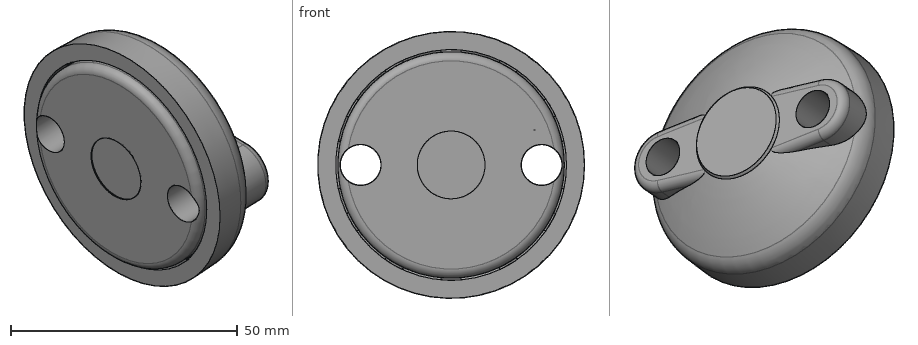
import cadquery as cq
import math

rim_radius = 29.5
rim_height = 7.0
wall_draft = 2.0
shoulder_radius = 26.85
shoulder_height = 11.05
dome_top_radius = 11.1
dome_top_height = 18.0
raised_top_radius = 10.6
raised_top_height = 18.6

bar_end_radius = 7.5
bar_end_offset = 21.0
bar_taper = 4.5
bar_fillet = 2.0

hole_radius = 4.5
hole_offset = 20.0

pad_radius = 25.0
pad_protrusion = 2.0
pad_edge_radius = 2.0
pad_seat_depth = 6.5
gap_width = 0.5
gap_depth = 5.0
bevel_length = 0.3
tab_spacing = 30
tab_width = 10
wide_tab_width = 24
mark_radius = 7.5
mark_depth = 0.3


def revolve_about_y(profile):
    """Turn a closed half profile, drawn as (radius, Y), around the Y axis."""
    return profile.close().revolve(360, (0, 0, 0), (0, 1, 0))


def disc(radius, start_y, end_y, center_x=0.0):
    """Cylinder along Y between two Y positions."""
    plane = cq.Workplane("XZ", origin=(center_x, start_y, 0))
    return plane.circle(radius).extrude(start_y - end_y)


def screw_holes():
    first, second = [
        disc(hole_radius, -pad_protrusion, raised_top_height, side * hole_offset)
        for side in (-1, 1)
    ]
    return first.add(second).combine()


def domed_body():
    wall_top_radius = rim_radius - rim_height * math.tan(math.radians(wall_draft))
    profile = (
        cq.Workplane("XY")
        .lineTo(rim_radius, 0)
        .lineTo(wall_top_radius, rim_height)
        .tangentArcPoint((shoulder_radius, shoulder_height), relative=False)
        .tangentArcPoint((dome_top_radius, dome_top_height), relative=False)
        .lineTo(raised_top_radius, raised_top_height)
        .lineTo(0, raised_top_height)
    )
    return revolve_about_y(profile)


def crossbar():
    """Bar that is widest in the middle, with straight tapered sides and round ends."""
    taper = math.radians(bar_taper)
    tangent_x = bar_end_offset + bar_end_radius * math.sin(taper)
    tangent_z = bar_end_radius * math.cos(taper)
    tip_x = bar_end_offset + bar_end_radius
    middle_z = tangent_z + tangent_x * math.tan(taper)
    bar = (
        cq.Workplane("XZ", origin=(0, rim_height, 0))
        .moveTo(0, middle_z)
        .lineTo(tangent_x, tangent_z)
        .threePointArc((tip_x, 0), (tangent_x, -tangent_z))
        .lineTo(0, -middle_z)
        .lineTo(-tangent_x, -tangent_z)
        .threePointArc((-tip_x, 0), (-tangent_x, tangent_z))
        .close()
        .extrude(rim_height - dome_top_height)
    )
    return bar.faces(">Y").edges().fillet(bar_fillet)


def pad_recess():
    """Recess wider than the pad in front, with a bevel down to the pad radius."""
    profile = (
        cq.Workplane("XY")
        .lineTo(pad_radius + gap_width, 0)
        .lineTo(pad_radius + gap_width, gap_depth)
        .lineTo(pad_radius, gap_depth + bevel_length)
        .lineTo(pad_radius, pad_seat_depth)
        .lineTo(0, pad_seat_depth)
    )
    return revolve_about_y(profile)


def tab(center_angle, width):
    """Flat-fronted tab on the pad wall, with a back that rests on the recess bevel."""
    root_radius = pad_radius - gap_width
    section = [
        (root_radius, gap_depth),
        (pad_radius + gap_width, gap_depth),
        (pad_radius, gap_depth + bevel_length),
        (root_radius, gap_depth + bevel_length),
    ]
    ring_part = cq.Workplane("XY").polyline(section).close()
    ring_part = ring_part.revolve(width, (0, 0, 0), (0, 1, 0))
    return ring_part.rotate((0, 0, 0), (0, 1, 0), center_angle - width / 2)


def make_housing():
    return domed_body().union(crossbar()).cut(pad_recess()).cut(screw_holes())


def make_pad():
    pad = disc(pad_radius, -pad_protrusion, pad_seat_depth)
    pad = pad.faces("<Y").edges().fillet(pad_edge_radius)
    mark_floor = mark_depth - pad_protrusion
    pad = pad.cut(disc(mark_radius, -pad_protrusion, mark_floor))
    for angle in range(0, 360, tab_spacing):
        beside_hole = angle % 180 == 0
        pad = pad.union(tab(angle, wide_tab_width if beside_hole else tab_width))
    return pad.cut(screw_holes())


housing = make_housing().solids()
pad = make_pad().solids()

result = cq.Compound.makeCompound([housing.val(), pad.val()])